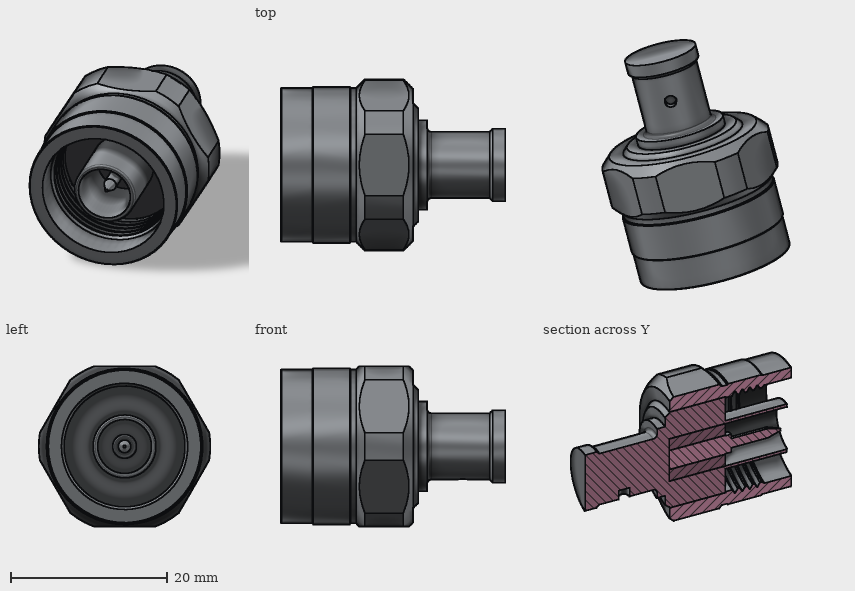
import cadquery as cq
import math

TOTAL_LENGTH = 28.8

NUT_LENGTH = 17.0
COLLAR_RADIUS = 9.88
BAND_RADIUS = 10.03
BAND_START = 4.05
BAND_END = 9.0
BAND_STEP = BAND_RADIUS - COLLAR_RADIUS
LIP_CHAMFER = 0.12
HEX_START = 9.68
HEX_SIDES = 6
HEX_ACROSS_FLATS = 20.57
HEX_CORNER_RADIUS = 11.0
HEX_REAR_RADIUS = 9.75

MOUTH_RADIUS = 8.1
MOUTH_DEPTH = 3.77
THREAD_CREST_RADIUS = 7.75
THREAD_PITCH = 1.05
THREAD_CREST_WIDTH = 0.25
THREAD_FLANK_ANGLE = 30.0
THREAD_TURNS = 4
SEAT_START = 9.22
SEAT_RADIUS = 7.9

SLEEVE_START = 0.58
SLEEVE_RADIUS = 4.03
SLEEVE_ROUND = 0.23
BORE_RADIUS = 3.45
SHOULDER_END = 17.65
SHOULDER_CHAMFER = SHOULDER_END - NUT_LENGTH
FLANGE_RADIUS = 5.75
FLANGE_END = 18.78
BARREL_RADIUS = 4.25
BARREL_FILLET = 0.52
RIM_RADIUS = 4.67
RIM_START = 27.2
RIM_RISE = RIM_RADIUS - BARREL_RADIUS

SOLDER_HOLE_X = 23.35
SOLDER_HOLE_DIAMETER = 1.5
SOLDER_HOLE_DEPTH = 1.45

PIN_TIP_X = 1.5
PIN_TIP_RADIUS = 0.17
PIN_RADIUS = 0.8
PIN_CONE_LENGTH = 1.73
PIN_SHOULDER_X = 8.35
PIN_SHOULDER_RADIUS = 1.53
PIN_SHOULDER_ROUND = 0.2


def revolve_about_x(profile):
    """Solid of revolution about X from a closed profile whose points are (x, radius)."""
    return profile.close().revolve(360, (0, 0, 0), (1, 0, 0))


def cylinder_along_x(start, end, radius):
    return cq.Workplane("YZ", origin=(start, 0, 0)).circle(radius).extrude(end - start)


def nut_outside():
    """Round collar and band, with a hexagon that has rounded corners and bevelled ends."""
    front_bevel = HEX_CORNER_RADIUS - COLLAR_RADIUS
    rear_bevel = HEX_CORNER_RADIUS - HEX_REAR_RADIUS
    envelope = revolve_about_x(
        cq.Workplane("XY").polyline([
            (0, 0),
            (0, COLLAR_RADIUS - LIP_CHAMFER),
            (LIP_CHAMFER, COLLAR_RADIUS),
            (BAND_START, COLLAR_RADIUS),
            (BAND_START + BAND_STEP, BAND_RADIUS),
            (BAND_END - BAND_STEP, BAND_RADIUS),
            (BAND_END, COLLAR_RADIUS),
            (HEX_START, COLLAR_RADIUS),
            (HEX_START + front_bevel, HEX_CORNER_RADIUS),
            (NUT_LENGTH - rear_bevel, HEX_CORNER_RADIUS),
            (NUT_LENGTH, HEX_REAR_RADIUS),
            (NUT_LENGTH, 0),
        ])
    )
    hex_across_corners = HEX_ACROSS_FLATS / math.cos(math.pi / HEX_SIDES)
    hex_bar = cq.Workplane("YZ").polygon(HEX_SIDES, hex_across_corners).extrude(NUT_LENGTH)
    return envelope.intersect(hex_bar)


def nut_opening():
    """Mouth, lead-in cone, thread as ring grooves, and the seat for the body."""
    lead_in = MOUTH_RADIUS - THREAD_CREST_RADIUS
    thread_start = MOUTH_DEPTH + lead_in
    half_groove = (THREAD_PITCH - THREAD_CREST_WIDTH) / 2
    groove_depth = half_groove / math.tan(math.radians(THREAD_FLANK_ANGLE))
    outline = [
        (0, 0),
        (0, MOUTH_RADIUS),
        (MOUTH_DEPTH, MOUTH_RADIUS),
        (thread_start, THREAD_CREST_RADIUS),
    ]
    for turn in range(THREAD_TURNS):
        groove_start = thread_start + THREAD_CREST_WIDTH + turn * THREAD_PITCH
        outline += [
            (groove_start, THREAD_CREST_RADIUS),
            (groove_start + half_groove, THREAD_CREST_RADIUS + groove_depth),
            (groove_start + 2 * half_groove, THREAD_CREST_RADIUS),
        ]
    outline += [
        (SEAT_START, THREAD_CREST_RADIUS),
        (SEAT_START, SEAT_RADIUS),
        (NUT_LENGTH, SEAT_RADIUS),
        (NUT_LENGTH, 0),
    ]
    return revolve_about_x(cq.Workplane("XY").polyline(outline))


def make_nut():
    return nut_outside().cut(nut_opening())


def make_body():
    sleeve = cylinder_along_x(SLEEVE_START, SEAT_START, SLEEVE_RADIUS)
    sleeve = sleeve.faces("<X").edges().fillet(SLEEVE_ROUND)

    seat = cylinder_along_x(SEAT_START, SHOULDER_END, SEAT_RADIUS)
    seat = seat.faces(">X").edges().chamfer(SHOULDER_CHAMFER)

    rear = revolve_about_x(
        cq.Workplane("XY")
        .moveTo(SHOULDER_END, 0)
        .lineTo(SHOULDER_END, FLANGE_RADIUS)
        .lineTo(FLANGE_END, FLANGE_RADIUS)
        .lineTo(FLANGE_END, BARREL_RADIUS + BARREL_FILLET)
        .radiusArc((FLANGE_END + BARREL_FILLET, BARREL_RADIUS), -BARREL_FILLET)
        .lineTo(RIM_START - RIM_RISE, BARREL_RADIUS)
        .lineTo(RIM_START, RIM_RADIUS)
        .lineTo(TOTAL_LENGTH, RIM_RADIUS)
        .lineTo(TOTAL_LENGTH, 0)
    )

    bore = cylinder_along_x(SLEEVE_START, NUT_LENGTH, BORE_RADIUS)
    solder_hole = (
        cq.Workplane("XY", origin=(SOLDER_HOLE_X, 0, -BARREL_RADIUS))
        .circle(SOLDER_HOLE_DIAMETER / 2)
        .extrude(SOLDER_HOLE_DEPTH)
    )
    return sleeve.union(seat).union(rear).cut(bore).cut(solder_hole)


def make_insulator():
    disc = cylinder_along_x(SEAT_START, NUT_LENGTH, BORE_RADIUS)
    return disc.cut(cylinder_along_x(SEAT_START, NUT_LENGTH, PIN_SHOULDER_RADIUS))


def make_pin():
    tip = revolve_about_x(
        cq.Workplane("XY").polyline([
            (PIN_TIP_X, 0),
            (PIN_TIP_X, PIN_TIP_RADIUS),
            (PIN_TIP_X + PIN_CONE_LENGTH, PIN_RADIUS),
            (PIN_SHOULDER_X, PIN_RADIUS),
            (PIN_SHOULDER_X, 0),
        ])
    )
    shoulder = cylinder_along_x(PIN_SHOULDER_X, NUT_LENGTH, PIN_SHOULDER_RADIUS)
    shoulder = shoulder.faces("<X").edges().fillet(PIN_SHOULDER_ROUND)
    return tip.union(shoulder)


nut = make_nut()
body = make_body()
insulator = make_insulator()
pin = make_pin()

result = cq.Compound.makeCompound([
    nut.solids().val(),
    body.solids().val(),
    insulator.solids().val(),
    pin.solids().val(),
])